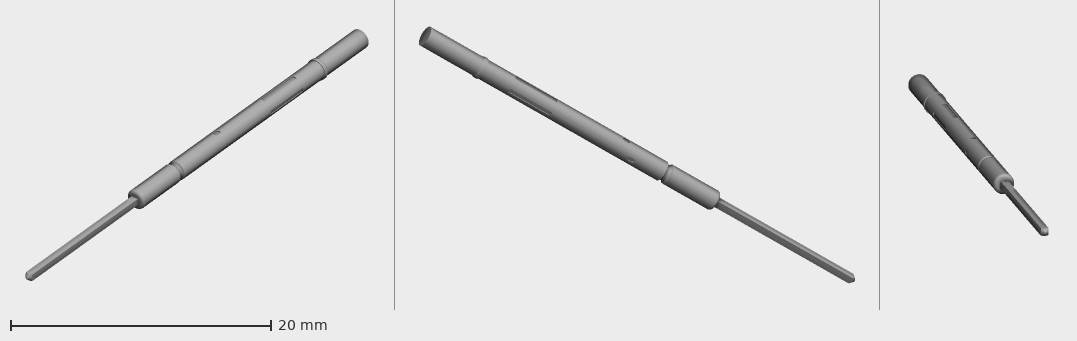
import cadquery as cq

barrel_radius = 0.825
barrel_length = 27.5
front_rounding = 0.27

ring_radius = 0.9
ring_rear = 5.0
ring_front = 5.39
ring_chamfer_length = 0.1

groove_centre = 22.7
groove_width = 0.5
groove_depth = 0.17

recess_width = 0.37
recess_depth = 0.1
slot_start = 8.0
slot_length = 3.93
quarter_turn = 90
dent_length = 0.65
first_dent_distance = 17.5
dent_pitch = 1.0
dent_sides = (0, -quarter_turn, -2 * quarter_turn)

plunger_size = 0.6
overall_length = 40.7
tip_radius = 0.08
cone_base_radius = 0.45


def make_barrel():
    """Revolve the stepped outline; outline points are (radius, Y)."""
    groove_rear = groove_centre - groove_width / 2
    groove_front = groove_centre + groove_width / 2
    nose_inset = front_rounding * (1 - 0.5 ** 0.5)
    outline = (
        cq.Workplane("XY")
        .moveTo(0, 0)
        .lineTo(barrel_radius, 0)
        .lineTo(barrel_radius, -ring_rear)
        .lineTo(ring_radius, -ring_rear - ring_chamfer_length)
        .lineTo(ring_radius, -ring_front)
        .lineTo(barrel_radius, -ring_front)
        .lineTo(barrel_radius, -groove_rear)
        .threePointArc(
            (barrel_radius - groove_depth, -groove_centre),
            (barrel_radius, -groove_front),
        )
        .lineTo(barrel_radius, -barrel_length + front_rounding)
        .threePointArc(
            (barrel_radius - nose_inset, -barrel_length + nose_inset),
            (barrel_radius - front_rounding, -barrel_length),
        )
        .lineTo(0, -barrel_length)
        .close()
    )
    return outline.revolve(360, (0, 0, 0), (0, 1, 0))


def place_recess(cutter, distance, side_angle):
    """Move a cutter to a distance from the rear face and turn it from +Z about the barrel axis."""
    return cutter.translate((0, -distance, 0)).rotate((0, 0, 0), (0, 1, 0), side_angle)


def recess_floor_plane():
    """Plane of the recess floor on the +Z side."""
    return cq.Workplane("XY").workplane(offset=barrel_radius - recess_depth)


def make_slots():
    """Four long rectangular recesses, a quarter turn apart."""
    cutter = recess_floor_plane().rect(recess_width, slot_length).extrude(barrel_radius)
    slots = cq.Workplane("XY")
    for side_angle in range(0, 360, quarter_turn):
        slots = slots.add(place_recess(cutter, slot_start + slot_length / 2, side_angle))
    return slots.combine()


def make_dents():
    """Short round-ended recesses that step forward as they go round the barrel."""
    cutter = recess_floor_plane().slot2D(dent_length, recess_width, 90).extrude(barrel_radius)
    dents = cq.Workplane("XY")
    for index, side_angle in enumerate(dent_sides):
        distance = first_dent_distance + index * dent_pitch
        dents = dents.add(place_recess(cutter, distance, side_angle))
    return dents.combine()


def make_plunger():
    """Square rod, started inside the barrel so that the two join, turned to a blunt 45 degree cone."""
    rod_start = barrel_length - front_rounding
    cone_start = overall_length - (cone_base_radius - tip_radius)
    rod = (
        cq.Workplane("XZ", origin=(0, -rod_start, 0))
        .rect(plunger_size, plunger_size)
        .extrude(overall_length - rod_start)
    )
    turned_envelope = (
        cq.Workplane("XY")
        .moveTo(0, -rod_start)
        .lineTo(cone_base_radius, -rod_start)
        .lineTo(cone_base_radius, -cone_start)
        .lineTo(tip_radius, -overall_length)
        .lineTo(0, -overall_length)
        .close()
        .revolve(360, (0, 0, 0), (0, 1, 0))
    )
    return rod.intersect(turned_envelope)


barrel = make_barrel().cut(make_slots()).cut(make_dents())
result = barrel.union(make_plunger())